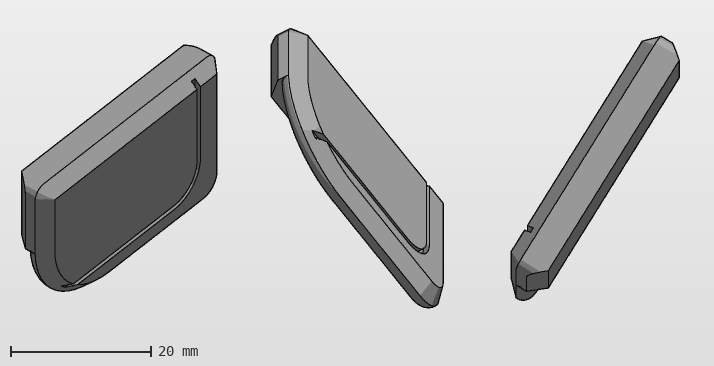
import cadquery as cq

thickness = 6.2
length = 39.93
height = 25.5

top_corner_radius = 2.0
rear_corner_radius = 5.0
front_corner_radius = 14.0

band_height = 12.0
step_depth = 2.4
lower_edge_radius = 1.6
band_end_bevel = 2.0

chamfer_relief = 0.005
back_chamfer = top_corner_radius - chamfer_relief

hole_diameter = 6.08
hole_depth = 2.95
hole_from_rear = 11.46
hole_from_top = 15.5

groove_outer_radius = 5.8
groove_width = 0.75
groove_depth = 1.0

rear_y = length / 2
front_y = -length / 2
top_z = height / 2
bottom_z = -height / 2
face_x = -thickness / 2
back_x = thickness / 2
step_x = face_x + step_depth
step_z = top_z - band_height
hole_y = rear_y - hole_from_rear
hole_z = top_z - hole_from_top


def yz_plane(x):
    """YZ work plane at x, with local axes along +Y and +Z."""
    return cq.Workplane("YZ", origin=(x, 0, 0))


def rounded_plate(x_start, x_end):
    """Plate between two X positions with the full rounded side outline."""
    plate = yz_plane(x_start).rect(length, height).extrude(x_end - x_start)
    plate = plate.edges("|X and >Z").fillet(top_corner_radius)
    plate = plate.edges("|X and <Z and >Y").fillet(rear_corner_radius)
    return plate.edges("|X and <Z and <Y").fillet(front_corner_radius)


def band_bounds():
    """Upper band envelope with both ends bevelled towards the stepped side."""
    half_face = length / 2 - band_end_bevel
    return (
        cq.Workplane("XY", origin=(0, 0, step_z))
        .moveTo(face_x, -half_face)
        .lineTo(step_x, front_y)
        .lineTo(back_x, front_y)
        .lineTo(back_x, rear_y)
        .lineTo(step_x, rear_y)
        .lineTo(face_x, half_face)
        .close()
        .extrude(band_height)
    )


def lower_bounds():
    """Box around everything below the step."""
    return (
        cq.Workplane("XY", origin=(0, 0, bottom_z))
        .rect(thickness, length)
        .extrude(height - band_height)
    )


def body():
    """Upper band and lower plate joined, before the hole and the groove."""
    band = rounded_plate(face_x, back_x).faces(">X").chamfer(back_chamfer)
    lower = rounded_plate(step_x, back_x).faces(">X").chamfer(back_chamfer)
    lower = lower.faces("<X").edges().fillet(lower_edge_radius)
    return band.intersect(band_bounds()).union(lower.intersect(lower_bounds()))


def round_hole():
    """Cutter for the blind hole, starting on the stepped face."""
    return yz_plane(step_x).center(hole_y, hole_z).circle(hole_diameter / 2).extrude(hole_depth)


def bent_groove():
    """Cutter running down from the top edge and bending out to the front end."""
    path_radius = groove_outer_radius - groove_width / 2
    diagonal = path_radius / 2 ** 0.5
    path = (
        yz_plane(back_x - groove_depth)
        .moveTo(hole_y + path_radius, top_z)
        .lineTo(hole_y + path_radius, hole_z)
        .threePointArc(
            (hole_y + diagonal, hole_z - diagonal),
            (hole_y, hole_z - path_radius),
        )
        .lineTo(front_y, hole_z - path_radius)
    )
    return path.offset2D(groove_width / 2).extrude(groove_depth)


result = body().cut(round_hole()).cut(bent_groove())